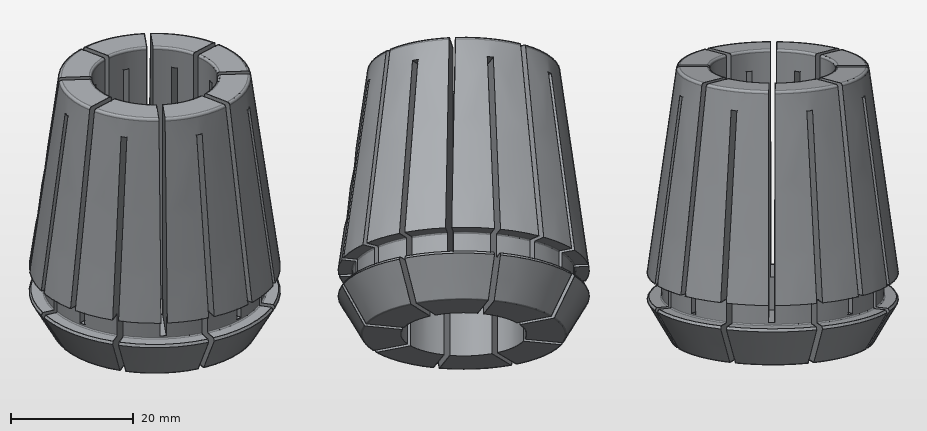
import cadquery as cq
import math

length = 46.0
outer_diameter = 41.0
bore_diameter = 20.5

cone_base_z = 11.1
cone_half_angle = 7.9
cone_edge_radius = 0.5
bore_edge_radius = 0.4

neck_radius = 18.12
neck_root_radius = 0.2

flange_top_z = 7.1
flange_rim_z = 6.62
flange_top_bevel = 0.28
flange_half_angle = 30.0
bottom_edge_radius = 0.2

slot_width = 1.0
slots_per_end = 8
lower_slot_top_z = 42.5
upper_slot_floor_z = 7.6
slot_overrun = 0.45

match_tolerance = 0.0005

outer_radius = outer_diameter / 2
bore_radius = bore_diameter / 2
slot_pitch = 360.0 / slots_per_end
bottom_radius = outer_radius - flange_rim_z * math.tan(math.radians(flange_half_angle))
top_radius = outer_radius - (length - cone_base_z) * math.tan(math.radians(cone_half_angle))


def round_circle(body, radius, z, rounding):
    """Fillet the one circular edge with this radius at this height."""
    circle = [
        edge
        for edge in body.edges("%CIRCLE").vals()
        if math.isclose(edge.radius(), radius, abs_tol=match_tolerance)
        and math.isclose(edge.Center().z, z, abs_tol=match_tolerance)
    ]
    return body.newObject(circle).fillet(rounding)


def make_body():
    """Revolve the half section about Z, then round the rims and the neck corners."""
    section = [
        (bore_radius, 0),
        (bottom_radius, 0),
        (outer_radius, flange_rim_z),
        (outer_radius - flange_top_bevel, flange_top_z),
        (neck_radius, flange_top_z),
        (neck_radius, cone_base_z),
        (outer_radius, cone_base_z),
        (top_radius, length),
        (bore_radius, length),
    ]
    body = cq.Workplane("XZ").polyline(section).close().revolve(360, (0, 0), (0, 1))
    body = round_circle(body, top_radius, length, cone_edge_radius)
    body = round_circle(body, bore_radius, length, bore_edge_radius)
    body = round_circle(body, bottom_radius, 0, bottom_edge_radius)
    body = round_circle(body, neck_radius, flange_top_z, neck_root_radius)
    return round_circle(body, neck_radius, cone_base_z, neck_root_radius)


def make_slots(bottom_z, top_z, first_angle):
    """Evenly spaced radial slot cutters reaching from the axis past the outside."""
    slots = cq.Workplane("XY")
    for index in range(slots_per_end):
        slot = (
            cq.Workplane("XY", origin=(0, 0, bottom_z))
            .box(outer_radius + slot_overrun, slot_width, top_z - bottom_z, centered=(False, True, False))
            .rotate((0, 0, 0), (0, 0, 1), first_angle + index * slot_pitch)
        )
        slots = slots.add(slot)
    return slots.combine()


lower_slots = make_slots(-slot_overrun, lower_slot_top_z, 0)
upper_slots = make_slots(upper_slot_floor_z, length + slot_overrun, slot_pitch / 2)

result = make_body().cut(lower_slots).cut(upper_slots)